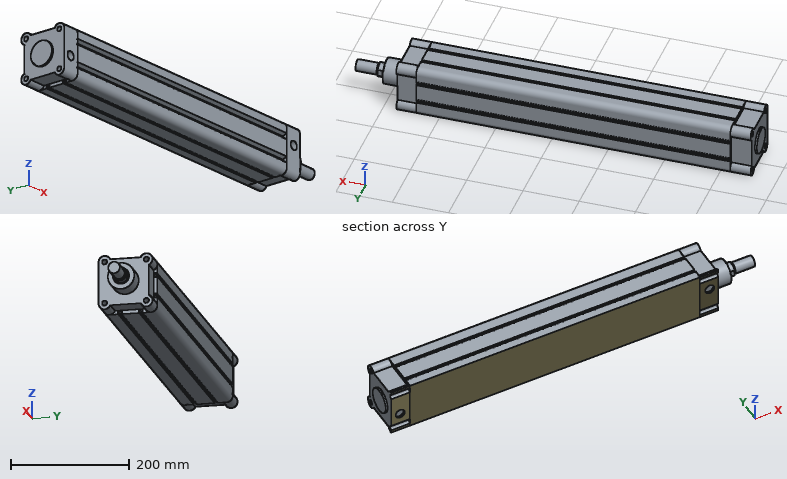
import cadquery as cq
import math

SIDE = 94.0
HALF = SIDE / 2
CORNER_RADIUS = 11.0
SCREW_OFFSET = HALF - CORNER_RADIUS
RELIEVED_SIDES = (0, -90, -180)

REAR_CAP_START = 3.5
TUBE_START = 39.5
TUBE_END = 598.0
FRONT_CAP_END = 633.0
COLLAR_END = 665.5
NECK_START = 667.0
FLATS_START = 669.0
NECK_END = 678.5
THREAD_START = 681.0
OVERALL_LENGTH = 718.0

RECESS_DEPTH = 6.5
SCREW_HOLE_DIAMETER = 8.5
PORT_DIAMETER = 16.5
PORT_DEPTH = 14.5
PORT_HEIGHT = 10.0
REAR_PORT_X = 21.0
FRONT_PORT_X = 617.0
BOSS_DIAMETER = 46.0

SLOT_INNER = 16.0
SLOT_WIDTH = 4.7
SLOT_LIP = 2.0
SLOT_DEPTH = 5.0
SLOT_CHAMBER_WIDTH = 7.0
SLOT_CENTRE = SLOT_INNER + SLOT_WIDTH / 2
GROOVE_MOUTH = 11.0
GROOVE_FLOOR = 3.5
GROOVE_DEPTH = 8.5
GROOVE_CENTRE = SLOT_INNER + GROOVE_MOUTH / 2

ROD_DIAMETER = 28.0
NECK_DIAMETER = 25.0
NECK_ACROSS_FLATS = 22.0
THREAD_DIAMETER = 21.0
RELIEF_DIAMETER = 19.5
THREAD_CHAMFER_LENGTH = 2.0
THREAD_CHAMFER_RISE = 0.35


def cylinder_x(start, end, diameter):
    """A cylinder on the X axis between two stations."""
    return cq.Workplane("YZ", origin=(start, 0, 0)).circle(diameter / 2).extrude(end - start)


def rounded_bar(start, end):
    """A square bar along X with rounded long edges."""
    bar = cq.Workplane("YZ", origin=(start, 0, 0)).rect(SIDE, SIDE).extrude(end - start)
    return bar.edges("|X").fillet(CORNER_RADIUS)


def side_recess(start, end):
    """The cutter that thins the +Z side between two corner lobes."""
    drop = CORNER_RADIUS - RECESS_DEPTH
    reach = math.sqrt(CORNER_RADIUS**2 - drop**2)
    half_floor = SCREW_OFFSET - reach
    floor = HALF - RECESS_DEPTH
    mid_angle = (math.asin(drop / CORNER_RADIUS) + math.pi / 2) / 2
    mid_y = SCREW_OFFSET - CORNER_RADIUS * math.cos(mid_angle)
    mid_z = SCREW_OFFSET + CORNER_RADIUS * math.sin(mid_angle)
    return (
        cq.Workplane("YZ", origin=(start, 0, 0))
        .moveTo(-half_floor, floor)
        .lineTo(half_floor, floor)
        .threePointArc((mid_y, mid_z), (SCREW_OFFSET, HALF))
        .lineTo(-SCREW_OFFSET, HALF)
        .threePointArc((-mid_y, mid_z), (-half_floor, floor))
        .close()
        .extrude(end - start)
    )


def end_cap(start, end, port_x, port_z):
    """A cap with recessed +Y, +Z and -Z sides, four screw holes and a port on -Y."""
    cap = rounded_bar(start, end)
    recess = side_recess(start, end)
    for turn in RELIEVED_SIDES:
        cap = cap.cut(recess.rotate((0, 0, 0), (1, 0, 0), turn))
    holes = (
        cq.Workplane("YZ", origin=(start, 0, 0))
        .rect(2 * SCREW_OFFSET, 2 * SCREW_OFFSET, forConstruction=True)
        .vertices()
        .circle(SCREW_HOLE_DIAMETER / 2)
        .extrude(end - start)
    )
    port = (
        cq.Workplane("XZ", origin=(port_x, -HALF, port_z))
        .circle(PORT_DIAMETER / 2)
        .extrude(-PORT_DEPTH)
    )
    return cap.cut(holes).cut(port)


def make_rear_cap():
    """The rear cap with a shallow round boss on its end."""
    cap = end_cap(REAR_CAP_START, TUBE_START, REAR_PORT_X, -PORT_HEIGHT)
    return cap.union(cylinder_x(0, REAR_CAP_START, BOSS_DIAMETER))


def make_front_cap():
    """The front cap with a long collar, bored through for the rod."""
    cap = end_cap(TUBE_END, FRONT_CAP_END, FRONT_PORT_X, PORT_HEIGHT)
    cap = cap.union(cylinder_x(FRONT_CAP_END, COLLAR_END, BOSS_DIAMETER))
    return cap.cut(cylinder_x(TUBE_END, COLLAR_END, ROD_DIAMETER))


def slot_cutter(length):
    """A T-slot opening upwards, its mouth centred on the X axis."""
    mouth = cq.Workplane("XY").box(length, SLOT_WIDTH, SLOT_LIP, (False, True, False))
    chamber_height = SLOT_DEPTH - SLOT_LIP
    chamber = cq.Workplane("XY").box(length, SLOT_CHAMBER_WIDTH, chamber_height, (False, True, False))
    mouth = mouth.translate((0, 0, -SLOT_LIP))
    return mouth.union(chamber.translate((0, 0, -SLOT_DEPTH)))


def groove_cutter(length):
    """A groove with sloping walls opening towards -Y, its mouth centred on the X axis."""
    return (
        cq.Workplane("YZ")
        .polyline([
            (0, -GROOVE_MOUTH / 2),
            (0, GROOVE_MOUTH / 2),
            (GROOVE_DEPTH, GROOVE_FLOOR / 2),
            (GROOVE_DEPTH, -GROOVE_FLOOR / 2),
        ])
        .close()
        .extrude(length)
    )


def make_tube():
    """The extruded tube: T-slots on +Y, +Z and -Z, sloping grooves on -Y."""
    tube = rounded_bar(TUBE_START, TUBE_END)
    length = TUBE_END - TUBE_START
    slot = slot_cutter(length)
    groove = groove_cutter(length)
    for side in (-1, 1):
        for turn in RELIEVED_SIDES:
            placed = slot.translate((TUBE_START, side * SLOT_CENTRE, HALF))
            tube = tube.cut(placed.rotate((0, 0, 0), (1, 0, 0), turn))
        tube = tube.cut(groove.translate((TUBE_START, -HALF, side * GROOVE_CENTRE)))
    return tube


def make_rod():
    """A turned rod with a threaded end and two wrench flats on its neck."""
    rod_radius = ROD_DIAMETER / 2
    neck_radius = NECK_DIAMETER / 2
    relief_radius = RELIEF_DIAMETER / 2
    thread_radius = THREAD_DIAMETER / 2
    chamfer_radius = thread_radius - THREAD_CHAMFER_RISE
    rod = (
        cq.Workplane("XY")
        .polyline([
            (TUBE_END, 0),
            (TUBE_END, rod_radius),
            (COLLAR_END, rod_radius),
            (NECK_START, neck_radius),
            (NECK_END, neck_radius),
            (NECK_END, relief_radius),
            (THREAD_START, relief_radius),
            (THREAD_START, chamfer_radius),
            (THREAD_START + THREAD_CHAMFER_LENGTH, thread_radius),
            (OVERALL_LENGTH - THREAD_CHAMFER_LENGTH, thread_radius),
            (OVERALL_LENGTH, chamfer_radius),
            (OVERALL_LENGTH, 0),
        ])
        .close()
        .revolve(360, (0, 0, 0), (1, 0, 0))
    )
    around_neck = cylinder_x(FLATS_START, NECK_END, ROD_DIAMETER)
    between_flats = cq.Workplane("XY", origin=(FLATS_START, 0, 0)).box(
        NECK_END - FLATS_START, NECK_ACROSS_FLATS, ROD_DIAMETER, (False, True, True)
    )
    return rod.cut(around_neck.cut(between_flats))


rear_cap = make_rear_cap()
tube = make_tube()
front_cap = make_front_cap()
rod = make_rod()

result = cq.Compound.makeCompound([rear_cap.val(), tube.val(), front_cap.val(), rod.val()])